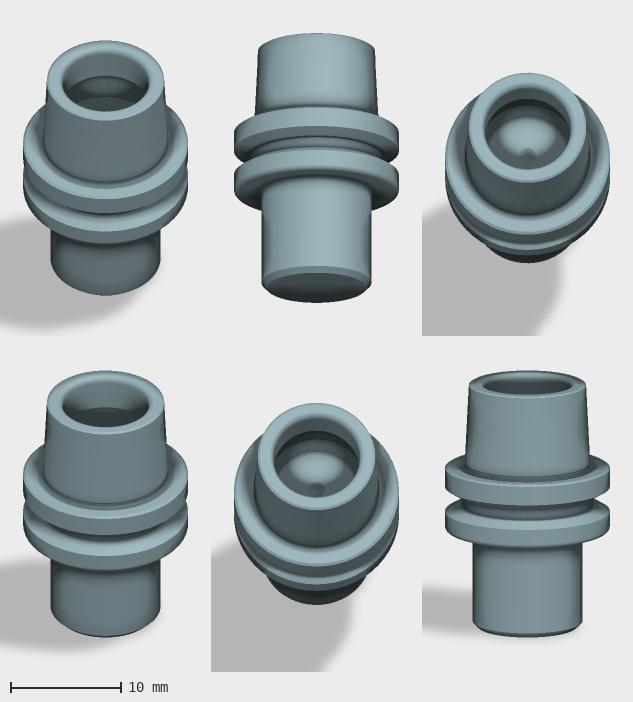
import cadquery as cq
import math


overall_height = 22.6

taper_top_z = 7.7
taper_base_z = 0.48
taper_base_radius = 5.68
taper_ratio = 1 / 10
taper_chamfer_radial = 0.2
taper_chamfer_angle = 30
taper_chamfer_height = taper_chamfer_radial * math.tan(math.radians(taper_chamfer_angle))

neck_diameter = 11.22
neck_radius = neck_diameter / 2
neck_top_z = 0.27
land_base_z = 0.38
neck_fillet = 0.23

recess_outer_radius = 6.33
recess_floor_diameter = 11.95
recess_floor_radius = recess_floor_diameter / 2
recess_depth = 0.13

flange_diameter = 14.97
flange_radius = flange_diameter / 2
flange_top_chamfer_radial = 0.22
flange_top_chamfer_height = 0.15
flange_bottom_z = -5.94
flange_bottom_fillet = 0.4
groove_diameter = 11.95
groove_radius = groove_diameter / 2
groove_lip_radius = 6.48
groove_top_z = -2.46
groove_bottom_z = -3.58
groove_flare_angle = 30
groove_flare_height = (flange_radius - groove_lip_radius) * math.tan(math.radians(groove_flare_angle))

shank_diameter = 10
shank_radius = shank_diameter / 2
shank_bottom_z = taper_top_z - overall_height
shank_top_fillet = 0.36
shank_chamfer = 0.5

bore_diameter = 7.83
bore_radius = bore_diameter / 2
bore_mouth_diameter = 8.85
bore_mouth_radius = bore_mouth_diameter / 2
bore_mouth_fillet = bore_mouth_radius - bore_radius

chamber_radius = bore_mouth_radius
chamber_top_z = 4.4
chamber_bottom_z = 1.4
chamber_lip_fillet = 0.15
chamber_cone_angle = 30
floor_corner_radius = 3.74
floor_flat_radius = 3.56
floor_corner_z = chamber_bottom_z - (chamber_radius - floor_corner_radius) / math.tan(
    math.radians(chamber_cone_angle)
)
floor_bevel_height = 0.08
floor_z = floor_corner_z - floor_bevel_height

centre_radius = 0.78
centre_cone_angle = 120
centre_depth = centre_radius / math.tan(math.radians(centre_cone_angle / 2))

ARC_MID = math.sqrt(0.5)


def quarter_arc(profile, centre, radius, side, end):
    """Add a quarter arc whose midpoint lies in the diagonal direction `side` from its centre."""
    middle = (centre[0] + side[0] * radius * ARC_MID, centre[1] + side[1] * radius * ARC_MID)
    return profile.threePointArc(middle, end)


def add_taper_and_neck(profile):
    """Continue the outline down the chamfered taper and the filleted neck to the recess floor."""
    top_radius = taper_base_radius - (taper_top_z - taper_base_z) * taper_ratio / 2
    neck_fillet_top = neck_fillet - recess_depth
    profile = (
        profile.lineTo(top_radius - taper_chamfer_radial, taper_top_z)
        .lineTo(top_radius, taper_top_z - taper_chamfer_height)
        .lineTo(taper_base_radius, taper_base_z)
        .lineTo(taper_base_radius, land_base_z)
        .lineTo(neck_radius, neck_top_z)
        .lineTo(neck_radius, neck_fillet_top)
    )
    fillet_end_radius = neck_radius + neck_fillet
    return quarter_arc(
        profile,
        (fillet_end_radius, neck_fillet_top),
        neck_fillet,
        (-1, -1),
        (fillet_end_radius, -recess_depth),
    )


def add_flange(profile):
    """Continue the outline around the recessed flange and its flared gripper groove."""
    profile = (
        profile.lineTo(recess_floor_radius, -recess_depth)
        .lineTo(recess_outer_radius, 0)
        .lineTo(flange_radius - flange_top_chamfer_radial, 0)
        .lineTo(flange_radius, -flange_top_chamfer_height)
        .lineTo(flange_radius, groove_top_z + groove_flare_height)
        .lineTo(groove_lip_radius, groove_top_z)
        .lineTo(groove_radius, groove_top_z)
        .lineTo(groove_radius, groove_bottom_z)
        .lineTo(groove_lip_radius, groove_bottom_z)
        .lineTo(flange_radius, groove_bottom_z - groove_flare_height)
        .lineTo(flange_radius, flange_bottom_z + flange_bottom_fillet)
    )
    fillet_end_radius = flange_radius - flange_bottom_fillet
    return quarter_arc(
        profile,
        (fillet_end_radius, flange_bottom_z + flange_bottom_fillet),
        flange_bottom_fillet,
        (1, -1),
        (fillet_end_radius, flange_bottom_z),
    )


def add_shank(profile):
    """Continue the outline down the filleted and chamfered shank to the axis."""
    fillet_start_radius = shank_radius + shank_top_fillet
    fillet_end_z = flange_bottom_z - shank_top_fillet
    profile = quarter_arc(
        profile.lineTo(fillet_start_radius, flange_bottom_z),
        (fillet_start_radius, fillet_end_z),
        shank_top_fillet,
        (-1, 1),
        (shank_radius, fillet_end_z),
    )
    return (
        profile.lineTo(shank_radius, shank_bottom_z + shank_chamfer)
        .lineTo(shank_radius - shank_chamfer, shank_bottom_z)
        .lineTo(0, shank_bottom_z)
    )


def make_body():
    """Revolve the complete outer outline into a solid body."""
    profile = cq.Workplane("XZ").moveTo(0, taper_top_z)
    profile = add_taper_and_neck(profile)
    profile = add_flange(profile)
    profile = add_shank(profile)
    return profile.close().revolve(360, (0, 0, 0), (0, 1, 0))


def make_bore():
    """Cutter for the round-mouthed bore, the wider chamber below its lip and the centre mark."""
    mouth_fillet_z = taper_top_z - bore_mouth_fillet
    lip_fillet_z = chamber_top_z + chamber_lip_fillet
    lip_fillet_radius = bore_radius + chamber_lip_fillet
    profile = cq.Workplane("XZ").moveTo(0, taper_top_z).lineTo(bore_mouth_radius, taper_top_z)
    profile = quarter_arc(
        profile,
        (bore_mouth_radius, mouth_fillet_z),
        bore_mouth_fillet,
        (-1, 1),
        (bore_radius, mouth_fillet_z),
    )
    profile = quarter_arc(
        profile.lineTo(bore_radius, lip_fillet_z),
        (lip_fillet_radius, lip_fillet_z),
        chamber_lip_fillet,
        (-1, -1),
        (lip_fillet_radius, chamber_top_z),
    )
    profile = (
        profile.lineTo(chamber_radius, chamber_top_z)
        .lineTo(chamber_radius, chamber_bottom_z)
        .lineTo(floor_corner_radius, floor_corner_z)
        .lineTo(floor_flat_radius, floor_z)
        .lineTo(centre_radius, floor_z)
        .lineTo(0, floor_z - centre_depth)
    )
    return profile.close().revolve(360, (0, 0, 0), (0, 1, 0))


result = make_body().cut(make_bore())